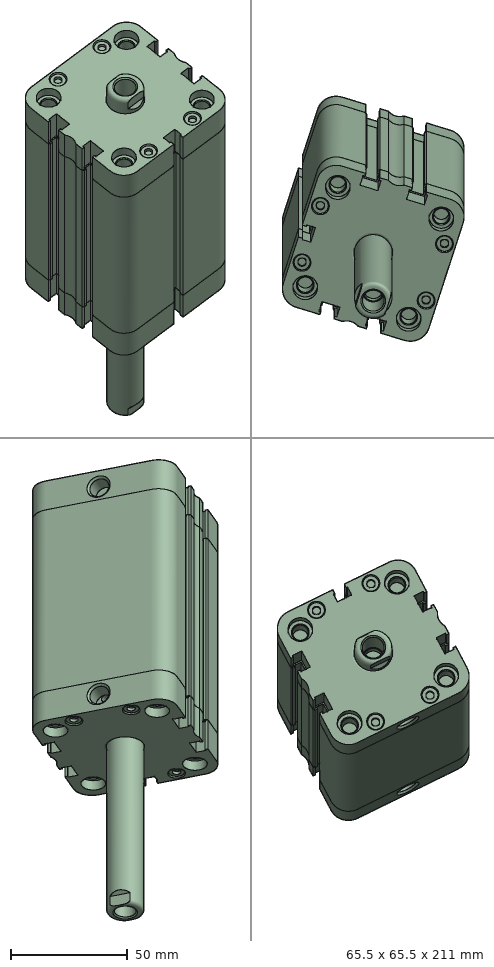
import cadquery as cq

total_length = 211.0
side = 65.5
corner_radius = 8.5
cap_height = 14.5
body_length = 120.0
rod_rear_length = 8.0
body_bottom = total_length - rod_rear_length - body_length
body_top = body_bottom + body_length
half_side = side / 2

rod_diameter = 16.0
rod_flats_width = 13.0
rod_flat_length = 5.3
rod_tip_diameter = 12.7
rod_tip_length = 1.5
rod_thread_mouth = 10.5
rod_thread_diameter = 9.3
rod_thread_depth = 16.9
rod_core_diameter = 8.5
rod_core_depth = 21.0
rod_passage_diameter = 16.5
rod_recess_diameter = 18.0
rod_recess_depth = 0.2

slot_spacing = 20.9
side_slot_opening = 5.5
barrel_slot_opening = 5.0
barrel_slot_width = 6.8
barrel_slot_depth = 5.0
barrel_slot_lip = 2.0
barrel_slot_chamfer = 0.6
cap_slot_clearance = 0.6
flute_width = 7.0
flute_depth = 1.0

mount_offset = 23.2
mount_bore_diameter = 10.5
mount_bore_depth = 4.6
mount_thread_diameter = 7.5
mount_thread_chamfer = 0.5
mount_core_diameter = 6.8
mount_core_depth = 12.7

screw_offset_x = 27.9
screw_offset_y = 13.0
screw_diameter = 7.5
screw_head_diameter = 6.8
screw_socket_diameter = 3.5
screw_recess_depth = 0.6
screw_socket_depth = 2.1

port_from_face = 8.0
port_diameter = 8.7
port_mouth = 10.5
port_depth = 8.5
port_channel_diameter = 3.5
port_channel_shift = 2.5
port_channel_depth = 6.3


def cylinder(diameter, height, bottom):
    return cq.Workplane("XY").workplane(offset=bottom).circle(diameter / 2).extrude(height)


def cone(start_diameter, end_diameter, height, start=(0, 0, 0), direction=(0, 0, 1)):
    """Truncated cone running from the start point along the direction."""
    return cq.Workplane(
        cq.Solid.makeCone(
            start_diameter / 2, end_diameter / 2, height, cq.Vector(*start), cq.Vector(*direction)
        )
    )


def rounded_block(height, bottom):
    block = cq.Workplane("XY").workplane(offset=bottom).rect(side, side).extrude(height)
    return block.edges("|Z").fillet(corner_radius)


def slot_cutter(opening, width, depth, lip, chamfer, height, bottom):
    """T-shaped groove cutter going inward from the -Y face, with a chamfered mouth if chamfer > 0."""
    half_mouth = opening / 2
    outline = [
        (half_mouth + chamfer, 0),
        (half_mouth, chamfer),
        (half_mouth, lip),
        (width / 2, lip),
        (width / 2, depth),
    ]
    if chamfer == 0:
        outline = outline[1:]
    mirrored = [(-x, y) for x, y in reversed(outline)]
    slot = cq.Workplane("XY").workplane(offset=bottom).polyline(outline + mirrored).close().extrude(height)
    return slot.translate((0, -half_side, 0))


def turn_about_z(shape, angle):
    return shape.rotate((0, 0, 0), (0, 0, 1), angle)


def cut_profile(block, clearance, chamfer, height, bottom):
    """Cut the lengthwise grooves; clearance enlarges the paired T-slots all round."""
    depth = barrel_slot_depth + clearance
    lip = barrel_slot_lip - clearance
    opening = barrel_slot_opening + 2 * clearance
    width = barrel_slot_width + 2 * clearance
    slot = slot_cutter(opening, width, depth, lip, chamfer, height, bottom)

    flute_radius = (flute_width**2 / 4 + flute_depth**2) / (2 * flute_depth)
    flute_center_y = flute_depth - flute_radius - half_side
    flute = cylinder(2 * flute_radius, height, bottom).translate((0, flute_center_y, 0))

    for angle in (0, 180):
        for x in (-slot_spacing / 2, slot_spacing / 2):
            block = block.cut(turn_about_z(slot.translate((x, 0, 0)), angle))
        block = block.cut(turn_about_z(flute, angle))

    side_slot = slot_cutter(side_slot_opening, barrel_slot_width, depth, barrel_slot_lip, 0, height, bottom)
    return block.cut(turn_about_z(side_slot, 90))


def make_barrel():
    height = body_length - 2 * cap_height
    bottom = body_bottom + cap_height
    barrel = cut_profile(rounded_block(height, bottom), 0, barrel_slot_chamfer, height, bottom)
    return barrel.cut(cylinder(rod_diameter, height, bottom))


def mount_cutter():
    """Stepped corner hole going down from the plane Z = 0."""
    bore = cylinder(mount_bore_diameter, mount_bore_depth, -mount_bore_depth)
    core = cylinder(mount_core_diameter, mount_core_depth, -mount_core_depth)
    chamfer = cone(
        mount_thread_diameter,
        mount_core_diameter,
        mount_thread_chamfer,
        (0, 0, -mount_bore_depth),
        (0, 0, -1),
    )
    return bore.union(core).union(chamfer)


def screw_cutter():
    """Conical recess and socket of one screw, going down from the plane Z = 0."""
    recess = cone(screw_diameter, screw_head_diameter, screw_recess_depth, direction=(0, 0, -1))
    return recess.union(cylinder(screw_socket_diameter, screw_socket_depth, -screw_socket_depth))


def port_cutter():
    """Air port going toward +X from the -X face, with its centre on Z = 0."""
    chamfer = (port_mouth - port_diameter) / 2
    port = cq.Workplane("YZ").workplane(offset=-half_side).circle(port_diameter / 2).extrude(port_depth)
    mouth = cone(port_mouth, port_diameter, chamfer, (-half_side, 0, 0), (1, 0, 0))
    channel = (
        cq.Workplane("YZ")
        .workplane(offset=port_depth - half_side)
        .center(0, -port_channel_shift)
        .circle(port_channel_diameter / 2)
        .extrude(port_channel_depth)
    )
    return port.union(mouth).union(channel)


def make_top_cap():
    bottom = body_top - cap_height
    cap = cut_profile(rounded_block(cap_height, bottom), cap_slot_clearance, 0, cap_height, bottom)
    cap = cap.cut(cylinder(rod_passage_diameter, cap_height, bottom))
    cap = cap.cut(
        cone(rod_recess_diameter, rod_passage_diameter, rod_recess_depth, (0, 0, body_top), (0, 0, -1))
    )
    for sx in (-1, 1):
        for sy in (-1, 1):
            cap = cap.cut(mount_cutter().translate((sx * mount_offset, sy * mount_offset, body_top)))
            cap = cap.cut(screw_cutter().translate((sx * screw_offset_x, sy * screw_offset_y, body_top)))
    return cap.cut(port_cutter().translate((0, 0, body_top - port_from_face)))


def make_bottom_cap(top_cap):
    """Mirror image of the top cap about the middle of the body."""
    return top_cap.mirror("XY", (0, 0, body_bottom + body_length / 2))


def rod_end_cutter():
    """Everything removed from the rod end at Z = 0, with the rod above it."""
    radius = rod_diameter / 2
    tip_radius = rod_tip_diameter / 2
    tip_width = radius - tip_radius
    tip_round = (tip_width**2 + rod_tip_length**2) / (2 * rod_tip_length)
    tip = (
        cq.Workplane("XZ")
        .moveTo(tip_radius, 0)
        .radiusArc((radius, rod_tip_length), -tip_round)
        .lineTo(radius, 0)
        .close()
        .revolve(360, (0, 0, 0), (0, 1, 0))
    )
    flat_half = rod_flats_width / 2
    runout = radius - flat_half
    flat = (
        cq.Workplane("XZ")
        .polyline(
            [(flat_half, 0), (flat_half, rod_flat_length), (radius, rod_flat_length + runout), (radius, 0)]
        )
        .close()
        .extrude(radius, both=True)
    )
    thread = cylinder(rod_thread_diameter, rod_thread_depth, 0)
    thread_chamfer = (rod_thread_mouth - rod_thread_diameter) / 2
    mouth = cone(rod_thread_mouth, rod_thread_diameter, thread_chamfer)
    core = cylinder(rod_core_diameter, rod_core_depth, 0)
    hole = core.union(thread).union(mouth)
    return tip.union(flat).union(flat.mirror("YZ")).union(hole)


def make_rod():
    rod = cylinder(rod_diameter, total_length, 0)
    end = rod_end_cutter()
    return rod.cut(end).cut(end.mirror("XY").translate((0, 0, total_length)))


barrel = make_barrel()
top_cap = make_top_cap()
bottom_cap = make_bottom_cap(top_cap)
rod = make_rod()

result = cq.Compound.makeCompound([barrel.val(), top_cap.val(), bottom_cap.val(), rod.val()])